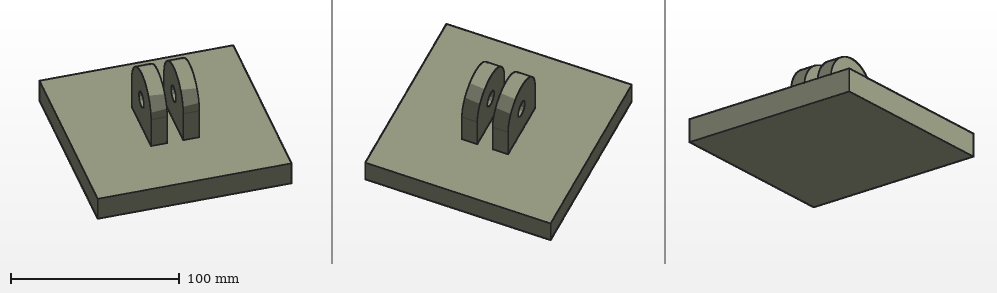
import cadquery as cq

plate_side = 120.0
plate_thickness = 15.0

lug_width = 40.0
lug_thickness = 10.0
lug_gap = lug_thickness
pin_diameter = 10.0

lug_radius = lug_width / 2
pin_height = lug_radius
lug_offset = (lug_gap + lug_thickness) / 2


def make_plate():
    """Square plate with its top face at Z = 0."""
    return cq.Workplane("XY").box(
        plate_side, plate_side, plate_thickness, centered=(True, True, False)
    ).translate((0, 0, -plate_thickness))


def make_lug(center_y):
    """Upright round-topped lug with a pin hole, centred on center_y."""
    outline = (
        cq.Workplane("XZ")
        .moveTo(-lug_radius, 0)
        .lineTo(-lug_radius, pin_height)
        .threePointArc((0, pin_height + lug_radius), (lug_radius, pin_height))
        .lineTo(lug_radius, 0)
        .close()
    )
    body = outline.extrude(lug_thickness / 2, both=True)
    hole = (
        cq.Workplane("XZ")
        .center(0, pin_height)
        .circle(pin_diameter / 2)
        .extrude(lug_thickness, both=True)
    )
    return body.cut(hole).translate((0, center_y, 0))


result = make_plate()
for side in (-1, 1):
    result = result.union(make_lug(side * lug_offset))